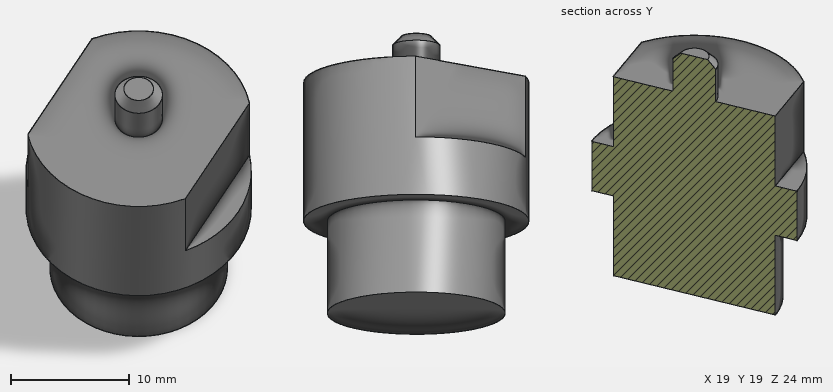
import cadquery as cq

total_height = 24.0
spigot_height = 8.0
body_height = 12.0
flats_height = 7.0
pin_height = total_height - spigot_height - body_height

body_diameter = 19.0
spigot_diameter = 15.0
width_across_flats = 15.0
pin_diameter = 4.0

tip_diameter = 2.5
tip_chamfer_height = 0.8
tip_chamfer_radial = (pin_diameter - tip_diameter) / 2


def make_body():
    """Round body with two parallel wrench flats, facing -X and +X, on its upper part."""
    flange_height = body_height - flats_height
    flange = cq.Workplane("XY").circle(body_diameter / 2).extrude(flange_height)
    upper = cq.Workplane("XY", origin=(0, 0, flange_height)).circle(body_diameter / 2).extrude(flats_height)
    between_flats = (
        cq.Workplane("XY", origin=(0, 0, flange_height))
        .rect(width_across_flats, body_diameter)
        .extrude(flats_height)
    )
    return flange.union(upper.intersect(between_flats))


def make_pin():
    """Locating pin with a chamfered tip."""
    pin = cq.Workplane("XY").circle(pin_diameter / 2).extrude(pin_height)
    return pin.faces(">Z").chamfer(tip_chamfer_height, tip_chamfer_radial)


spigot = cq.Workplane("XY").circle(spigot_diameter / 2).extrude(spigot_height)
body = make_body().translate((0, 0, spigot_height))
pin = make_pin().translate((0, 0, spigot_height + body_height))

result = spigot.union(body).union(pin)